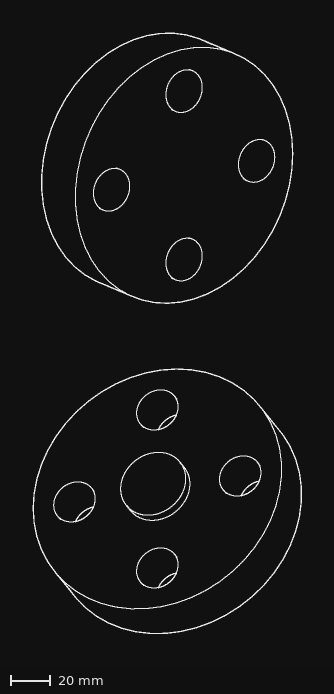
import cadquery as cq

disc_diameter = 133.4
overall_length = 36.5
boss_height = 6.3
disc_thickness = overall_length - boss_height

boss_diameter = 35.0

hole_count = 4
hole_diameter = 22.3
bolt_circle_diameter = 89.0

disc = cq.Workplane("YZ").circle(disc_diameter / 2).extrude(disc_thickness)
boss = cq.Workplane("YZ").circle(boss_diameter / 2).extrude(-boss_height)

bolt_holes = (
    cq.Workplane("YZ")
    .polarArray(bolt_circle_diameter / 2, 0, 360, hole_count)
    .circle(hole_diameter / 2)
    .extrude(disc_thickness)
)

result = disc.union(boss).cut(bolt_holes)